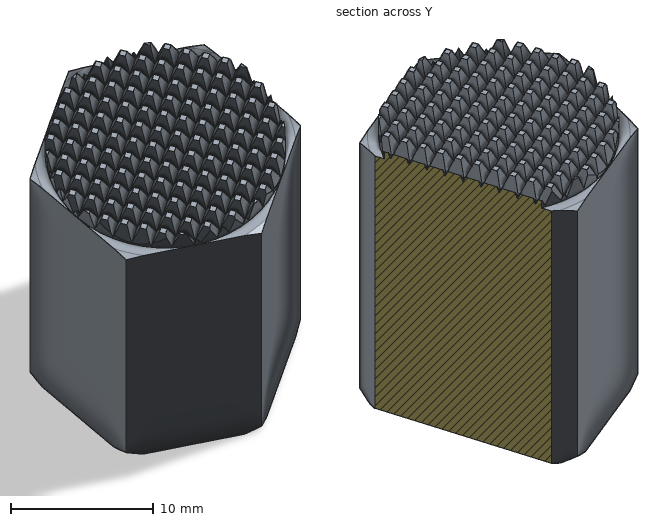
import cadquery as cq
import math

total_height = 25.0
across_flats = 17.0
across_corners = across_flats / math.cos(math.radians(30))

chamfer_start_radius = 9.25
corner_overhang = across_corners / 2 - chamfer_start_radius
bottom_chamfer_drop = corner_overhang
top_chamfer_drop = 0.12

pad_diameter = 16.95
pad_height = 1.5
tooth_depth = 1.32
tooth_tip_width = 0.45
teeth_across = 12
tooth_pitch = pad_diameter / teeth_across
flank_run = (tooth_pitch - tooth_tip_width) / 2

body_height = total_height - pad_height


def hex_body():
    """Hexagonal prism with its corners turned down at both ends."""
    prism = (
        cq.Workplane("XY")
        .polygon(6, across_corners)
        .extrude(body_height)
        .rotate((0, 0, 0), (0, 0, 1), 30)
    )
    envelope_radius = chamfer_start_radius + 2 * corner_overhang
    envelope = (
        cq.Workplane("XZ")
        .lineTo(chamfer_start_radius, 0)
        .lineTo(envelope_radius, 2 * bottom_chamfer_drop)
        .lineTo(envelope_radius, body_height - 2 * top_chamfer_drop)
        .lineTo(chamfer_start_radius, body_height)
        .lineTo(0, body_height)
        .close()
        .revolve(360, (0, 0, 0), (0, 1, 0))
    )
    return prism.intersect(envelope)


def tooth_ridges(plane):
    """Parallel ridges along the normal of a vertical plane, standing on a flat base."""
    profile = cq.Workplane(plane).moveTo(-pad_diameter / 2, 0).line(0, pad_height - tooth_depth)
    for _ in range(teeth_across):
        profile = profile.line(flank_run, tooth_depth)
        profile = profile.line(tooth_tip_width, 0)
        profile = profile.line(flank_run, -tooth_depth)
    profile = profile.lineTo(pad_diameter / 2, 0).close()
    return profile.extrude(pad_diameter, both=True)


def toothed_pad():
    """Round pad crossed by V grooves along X and along Y."""
    disc = cq.Workplane("XY").circle(pad_diameter / 2).extrude(pad_height)
    pad = disc.intersect(tooth_ridges("XZ")).intersect(tooth_ridges("YZ"))
    return pad.translate((0, 0, body_height))


result = hex_body().union(toothed_pad())